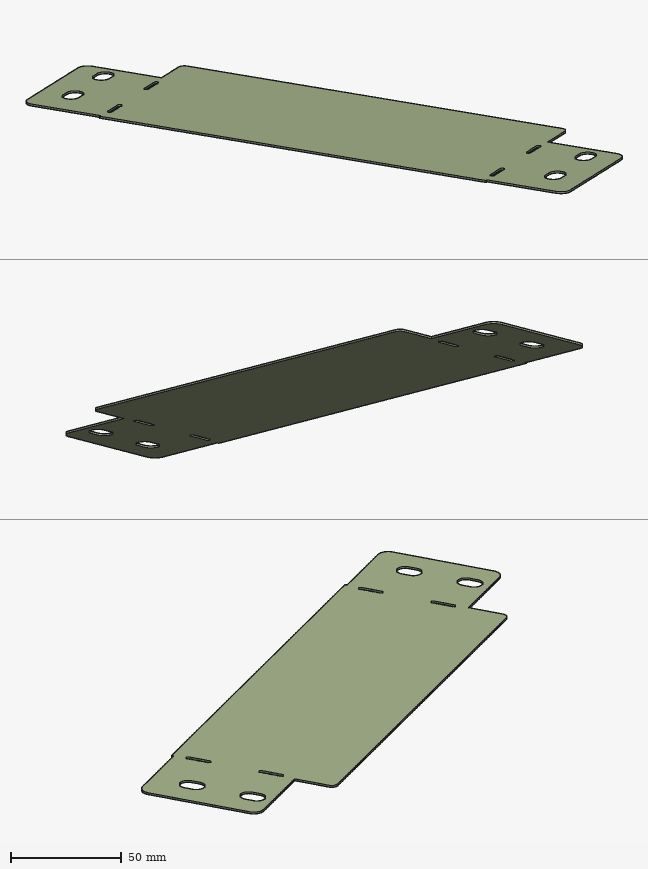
import cadquery as cq

thickness = 1.0
overall_length = 277.0
overall_width = 81.0

tab_length = 40.0
tab_width = 60.0
tab_corner_radius = 5.0
bottom_step = 1.0
panel_corner_radius = 3.0

mount_slot_length = 12.0
mount_slot_width = 8.0
mount_slot_end_distance = 15.5
mount_slot_top_distance = 10.0
mount_slot_pitch = 30.0

relief_slot_length = 12.0
relief_slot_width = 2.0
relief_slot_pitch = 36.0

panel_length = overall_length - 2 * tab_length
tab_center_y = -overall_width / 2 + bottom_step + tab_width / 2
tab_top_y = tab_center_y + tab_width / 2
mount_slot_x = overall_length / 2 - mount_slot_end_distance
mount_slot_top_y = tab_top_y - mount_slot_top_distance
relief_slot_x = panel_length / 2 - relief_slot_width / 2


def make_sheet():
    """Centre panel with rounded top corners, merged with the rounded tab strip."""
    panel = cq.Workplane("XY").box(panel_length, overall_width, thickness)
    panel = panel.edges("|Z and >Y").fillet(panel_corner_radius)
    tabs = cq.Workplane("XY").box(overall_length, tab_width, thickness)
    tabs = tabs.edges("|Z").fillet(tab_corner_radius)
    return panel.union(tabs.translate((0, tab_center_y, 0)))


def cut_slots(body, x, y_places, length, width):
    """Cut slots running along Y through the sheet, mirrored about the YZ plane."""
    places = [(side * x, y) for side in (-1, 1) for y in y_places]
    cutter = (
        cq.Workplane("XY")
        .workplane(offset=-thickness)
        .pushPoints(places)
        .slot2D(length, width, 90)
        .extrude(2 * thickness)
    )
    return body.cut(cutter)


mount_slot_ys = (mount_slot_top_y, mount_slot_top_y - mount_slot_pitch)
relief_slot_ys = (tab_center_y + relief_slot_pitch / 2, tab_center_y - relief_slot_pitch / 2)

result = make_sheet()
result = cut_slots(result, mount_slot_x, mount_slot_ys, mount_slot_length, mount_slot_width)
result = cut_slots(result, relief_slot_x, relief_slot_ys, relief_slot_length, relief_slot_width)